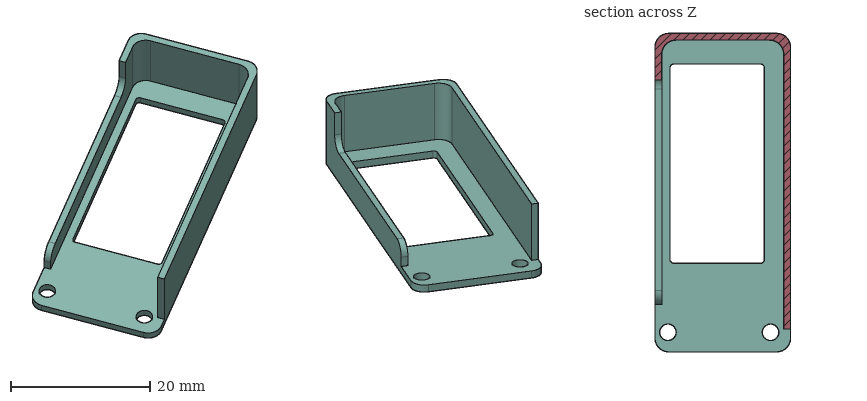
import cadquery as cq

width = 19.5
length = 45.8
height = 10.15

floor_thickness = 1.15
wall = 1.0
corner_radius = 2.0

right_wall_setback = 3.3
left_wall_setback = 6.82
left_post_length = 6.0
left_rail_height = 4.63
rail_bend_radius = 2.0

window_width = 13.5
window_length = 28.6
window_left_margin = 2.2
window_back_margin = 4.45
window_corner_radius = 0.5

hole_diameter = 2.35
hole_left_margin = 1.9
hole_spacing = 14.75
hole_front_margin = 2.85

left = -width / 2
front = -length / 2
back = length / 2


def rounded_block(block_width, block_length, block_height, radius):
    """Block standing on Z = 0 with rounded vertical edges."""
    block = cq.Workplane("XY").box(block_width, block_length, block_height, centered=(True, True, False))
    return block.edges("|Z").fillet(radius)


def open_ended_walls():
    """Left, back and right walls, with the right wall at full height."""
    outer = rounded_block(width, length, height, corner_radius)
    cavity = rounded_block(width - 2 * wall, 2 * length, height, corner_radius)
    cavity = cavity.translate((0, back - wall - length, floor_thickness))
    front_clearance = cq.Workplane("XY").box(width, right_wall_setback, height, centered=False)
    front_clearance = front_clearance.translate((left, front, floor_thickness))
    return outer.cut(cavity).cut(front_clearance)


def left_wall_relief():
    """Material above and in front of the low rail on the left wall."""
    rail_front = front + left_wall_setback
    post_front = back - left_post_length
    bend = rail_bend_radius
    return (
        cq.Workplane("YZ", origin=(left, 0, 0))
        .moveTo(front, floor_thickness)
        .lineTo(rail_front, floor_thickness)
        .lineTo(rail_front, left_rail_height - bend)
        .radiusArc((rail_front + bend, left_rail_height), bend)
        .lineTo(post_front - bend, left_rail_height)
        .radiusArc((post_front, left_rail_height + bend), -bend)
        .lineTo(post_front, height)
        .lineTo(front, height)
        .close()
        .extrude(wall)
    )


def window():
    x = left + window_left_margin + window_width / 2
    y = back - window_back_margin - window_length / 2
    cutter = rounded_block(window_width, window_length, floor_thickness, window_corner_radius)
    return cutter.translate((x, y, 0))


def screw_holes():
    first_x = left + hole_left_margin
    y = front + hole_front_margin
    return (
        cq.Workplane("XY")
        .pushPoints([(first_x, y), (first_x + hole_spacing, y)])
        .circle(hole_diameter / 2)
        .extrude(floor_thickness)
    )


result = open_ended_walls().cut(left_wall_relief()).cut(window()).cut(screw_holes())